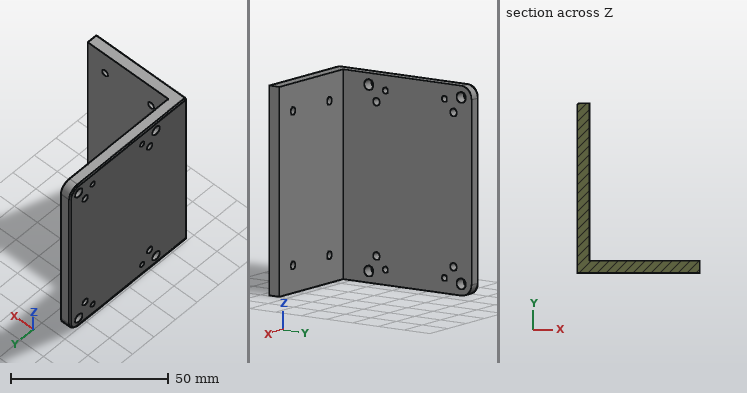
import cadquery as cq

width = 39.0
depth = 54.0
height = 68.0
thickness = 4.0

corner_radius = thickness
chamfer = 0.5

front_center_x = (thickness + width) / 2
side_center_y = 31.95
mount_spacing_z = 50.0
mount_diameter = 2.5
front_spacing_x = 20.0
side_mount_spacing_y = 30.0
large_spacing_y = 36.0
large_spacing_z = 60.4
large_diameter = 3.5
small_spacing_y = 23.0
small_spacing_z = 58.0
small_diameter = 2.0


def make_side_plate():
    """Plate in the YZ plane, rounded at the back and chamfered on its outer face."""
    plate = cq.Workplane("XY").box(thickness, depth, height, centered=False)
    plate = plate.edges("|X and >Y").fillet(corner_radius)
    return plate.faces("<X").edges("not <Y").chamfer(chamfer)


def make_front_plate():
    """Plate in the XZ plane, running from the side plate's inner face."""
    plate = cq.Workplane("XY").box(width - thickness, thickness, height, centered=False)
    return plate.translate((thickness, 0, 0))


def four_holes(plane, center, spacing, spacing_z, diameter, length):
    """Four cutters in a rectangle about the center, running both ways from the plane."""
    return (
        cq.Workplane(plane)
        .center(center, height / 2)
        .rarray(spacing, spacing_z, 2, 2)
        .circle(diameter / 2)
        .extrude(length, both=True)
    )


result = make_side_plate().union(make_front_plate())

result = result.cut(
    four_holes("XZ", front_center_x, front_spacing_x, mount_spacing_z, mount_diameter, thickness)
)

for spacing_y, spacing_z, diameter in (
    (large_spacing_y, large_spacing_z, large_diameter),
    (side_mount_spacing_y, mount_spacing_z, mount_diameter),
    (small_spacing_y, small_spacing_z, small_diameter),
):
    result = result.cut(
        four_holes("YZ", side_center_y, spacing_y, spacing_z, diameter, thickness)
    )